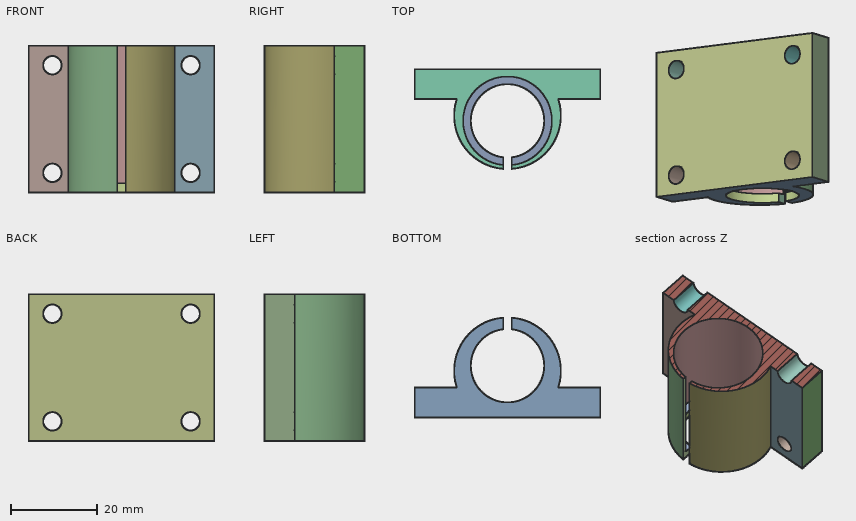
import cadquery as cq

plate_width = 43.0
plate_thickness = 6.95
height = 34.0

outer_diameter = 24.75
outer_offset = 10.8
bore_diameter = 20.55
bore_offset = 12.0

lip_diameter = 16.95
lip_height = 2.1

slit_width = 1.9

hole_diameter = 4.2
hole_spacing_x = 32.0
hole_end_distance = 4.55
hole_spacing_z = height - 2 * hole_end_distance


def cylinder(diameter, offset, bottom, length):
    """Upright cylinder whose axis is `offset` in front of the plate back (Y = 0)."""
    return (
        cq.Workplane("XY", origin=(0, -offset, bottom))
        .circle(diameter / 2)
        .extrude(length)
    )


def make_body():
    """Plate and sleeve, with the sleeve trimmed flush with the plate back."""
    plate = cq.Workplane("XY").box(
        plate_width, plate_thickness, height, centered=(True, False, False)
    ).translate((0, -plate_thickness, 0))
    behind_plate = cq.Workplane("XY").box(
        plate_width, outer_diameter, height, centered=(True, False, False)
    )
    sleeve = cylinder(outer_diameter, outer_offset, 0, height).cut(behind_plate)
    return plate.union(sleeve)


def make_slit():
    """Cutter from the bore axis out through the front of the sleeve."""
    return cq.Workplane("XY").box(
        slit_width, outer_diameter, height, centered=(True, False, False)
    ).translate((0, -bore_offset - outer_diameter, 0))


def make_screw_holes():
    return (
        cq.Workplane("XZ", origin=(0, 0, height / 2))
        .rarray(hole_spacing_x, hole_spacing_z, 2, 2)
        .circle(hole_diameter / 2)
        .extrude(plate_thickness)
    )


result = (
    make_body()
    .cut(cylinder(bore_diameter, bore_offset, lip_height, height - lip_height))
    .cut(cylinder(lip_diameter, bore_offset, 0, lip_height))
    .cut(make_slit())
    .cut(make_screw_holes())
)